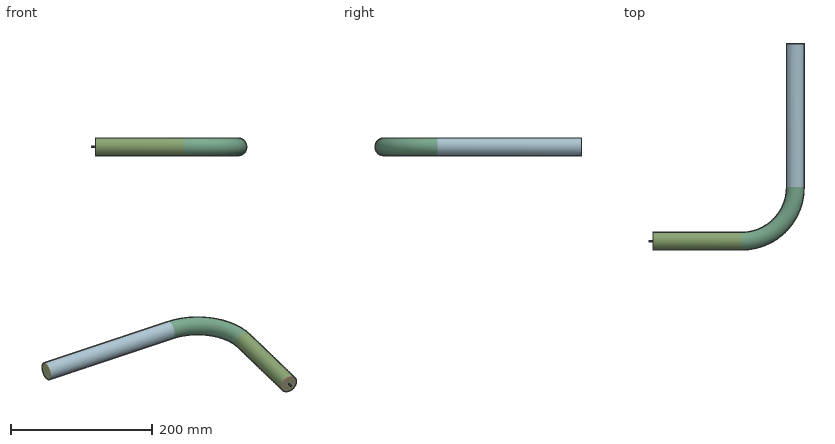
import cadquery as cq

overall_x = 220.0
overall_y = 293.0

bar_diameter = 25.5
bend_radius = 76.2
end_fillet = 0.5

pin_diameter = 1.9
pin_length = 5.3

bar_radius = bar_diameter / 2
outer_bend_radius = bend_radius + bar_radius
short_leg = overall_x - pin_length - outer_bend_radius
long_leg = overall_y - outer_bend_radius


def make_bar():
    """Short leg along +X from the origin, quarter bend, long leg along +Y."""
    centreline = (
        cq.Workplane("XY")
        .lineTo(short_leg, 0)
        .radiusArc((short_leg + bend_radius, bend_radius), -bend_radius)
        .lineTo(short_leg + bend_radius, bend_radius + long_leg)
    )
    bar = cq.Workplane("YZ").circle(bar_radius).sweep(centreline)
    return bar.faces("<X or >Y").edges().fillet(end_fillet)


def make_pin():
    """Pin on the bar axis, pointing along -X and rooted in the end face."""
    return cq.Workplane("YZ").circle(pin_diameter / 2).extrude(-pin_length)


result = make_bar().union(make_pin())